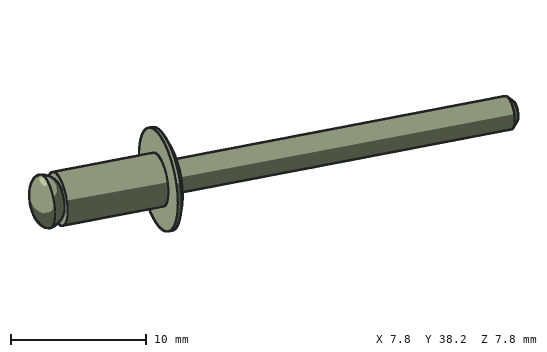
import cadquery as cq
import math

total_length = 38.2

stem_radius = 1.25
stem_chamfer = 0.5

sleeve_radius = 2.02
sleeve_length = 8.0
flange_radius = 3.9
rim_thickness = 0.3
dome_height = 0.95

head_length = 2.0
head_radius = sleeve_radius
head_neck_radius = 1.4
head_back_length = head_length / 2
head_nose_length = head_length - head_back_length
head_back_bulge = 0.1

tip_y = -sleeve_length - head_length
head_widest_y = tip_y + head_nose_length
stem_end_y = tip_y + total_length
flange_top_y = rim_thickness + dome_height


def bulged_midpoint(start, end, bulge):
    """Point offset by bulge from the chord middle, to the right of start-to-end."""
    dx = end[0] - start[0]
    dy = end[1] - start[1]
    chord = math.hypot(dx, dy)
    middle_x = (start[0] + end[0]) / 2
    middle_y = (start[1] + end[1]) / 2
    return (middle_x + bulge * dy / chord, middle_y - bulge * dx / chord)


def revolve_about_y(profile):
    return profile.close().revolve(360, (0, 0, 0), (0, 1, 0))


def make_stem():
    return revolve_about_y(
        cq.Workplane("XY")
        .moveTo(0, head_widest_y)
        .lineTo(stem_radius, head_widest_y)
        .lineTo(stem_radius, stem_end_y - stem_chamfer)
        .lineTo(stem_radius - stem_chamfer, stem_end_y)
        .lineTo(0, stem_end_y)
    )


def make_rivet_body():
    cap_rise = dome_height
    sphere_center_y = flange_top_y - (
        (flange_radius**2 - stem_radius**2 + cap_rise**2) / (2 * cap_rise)
    )
    sphere_radius = math.hypot(stem_radius, flange_top_y - sphere_center_y)
    arc_x = (flange_radius + stem_radius) / 2
    arc_y = sphere_center_y + math.sqrt(sphere_radius**2 - arc_x**2)
    return revolve_about_y(
        cq.Workplane("XY")
        .moveTo(0, -sleeve_length)
        .lineTo(sleeve_radius, -sleeve_length)
        .lineTo(sleeve_radius, 0)
        .lineTo(flange_radius, 0)
        .lineTo(flange_radius, rim_thickness)
        .threePointArc((arc_x, arc_y), (stem_radius, flange_top_y))
        .lineTo(0, flange_top_y)
    )


def make_mandrel_head():
    widest = (head_radius, head_widest_y)
    neck = (head_neck_radius, -sleeve_length)
    return revolve_about_y(
        cq.Workplane("XY")
        .moveTo(0, tip_y)
        .ellipseArc(head_radius, head_nose_length, 270, 360, startAtCurrent=True)
        .threePointArc(bulged_midpoint(widest, neck, head_back_bulge), neck)
        .lineTo(0, -sleeve_length)
    )


result = make_rivet_body().union(make_stem()).union(make_mandrel_head())